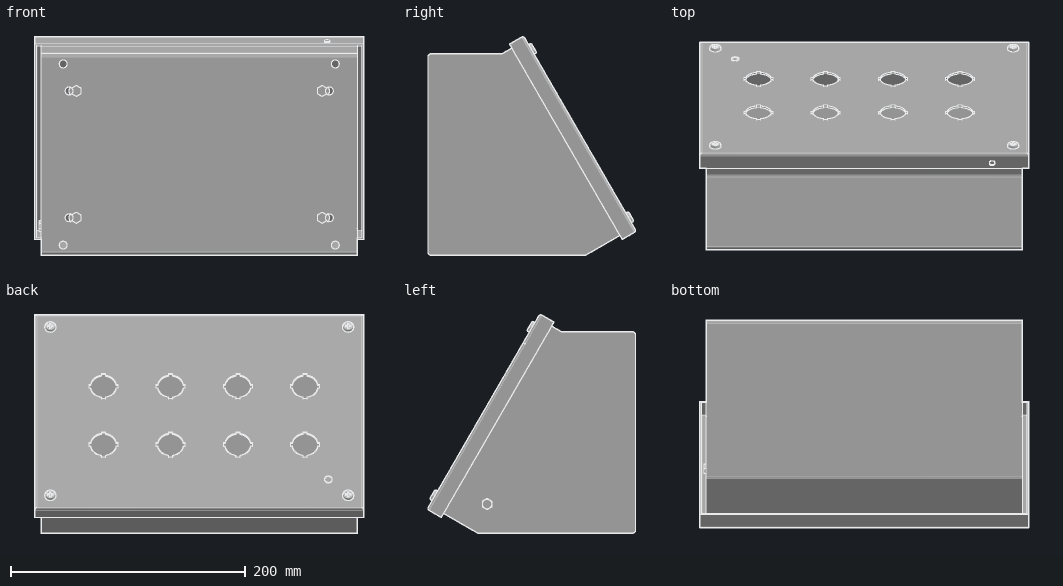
import cadquery as cq
import math

housing_width = 269.8
housing_height = 172.0
floor_depth = 134.5
roof_depth = 63.2
wall = 1.7
bend_radius = 2.8
roof_bend_radius = 3.7

slope = 60.0
lid_width = 281.0
lid_length = 192.5
lid_depth = 14.0
lid_wall = 1.7
lid_bend_radius = 2.0
lid_distance = 164.5

button_diameter = 22.0
button_pitch = 57.3
button_columns = 4
button_rows = 2
button_centre_x = -4.2
button_centre_y = 3.7
notch_width = 3.5
notch_reach = 12.5

dimple_diameter = 6.5
dimple_depth = 0.8
dimple_x = -110.1
dimple_y = 66.5
rim_hole_diameter = 4.8
rim_hole_x = 109.0
rim_hole_depth = 9.0

screw_x = 127.0
screw_y = 83.0
screw_head_diameter = 9.5
screw_head_height = 2.5
screw_head_round = 1.5
screw_shank_diameter = 4.8
recess_length = 4.5
recess_width = 1.5
recess_depth = 1.5

corner_hole_diameter = 6.7
corner_hole_x = 116.0
corner_hole_edge = 8.7
mount_hole_diameter = 6.7
mount_hole_x = 111.0

seat_x = 104.8
seat_low_z = 32.0
seat_high_z = 140.2
hexagon_flats = 8.1
seat_depth = 0.3
pad_diameter = 12.5
pad_thickness = 1.5

bolt_y = 126.7
bolt_z = 25.0
bolt_head_height = 2.0
bolt_shank_diameter = 4.8

slope_cos = math.cos(math.radians(slope))
slope_sin = math.sin(math.radians(slope))
hexagon_corners = hexagon_flats / math.cos(math.pi / 6)


def along_slope(y, z):
    """Distance of a side-on point up the slope, measured from the origin."""
    return z * slope_sin - y * slope_cos


def side_point(up_slope, out):
    """Y and Z of a point given up the slope and out along the lid's facing direction."""
    return (out * slope_sin - up_slope * slope_cos, out * slope_cos + up_slope * slope_sin)


floor_lip = along_slope(floor_depth, 0)
roof_lip = along_slope(roof_depth, housing_height)
lid_centre = side_point((floor_lip + roof_lip) / 2, lid_distance)

lid_plane = cq.Plane(
    origin=(0, *lid_centre), xDir=(1, 0, 0), normal=(0, slope_sin, slope_cos)
)


def prism(points, width):
    """A side-on outline of Y and Z points, extruded evenly about X = 0."""
    return cq.Workplane("YZ").polyline(points).close().extrude(width / 2, both=True)


def bend(body, y, z, radius):
    """Round the long edge that runs through the given Y and Z."""
    reach = 0.03
    edge = cq.selectors.BoxSelector(
        (-housing_width, y - reach, z - reach), (housing_width, y + reach, z + reach)
    )
    return body.edges("|X").edges(edge).fillet(radius)


def make_shell():
    front = lid_distance - lid_wall
    outline = [
        (0, 0),
        (floor_depth, 0),
        side_point(floor_lip, front),
        side_point(roof_lip, front),
        (roof_depth, housing_height),
        (0, housing_height),
    ]
    block = prism(outline, housing_width)
    block = bend(block, 0, 0, bend_radius)
    block = bend(block, 0, housing_height, bend_radius)
    block = bend(block, floor_depth, 0, bend_radius)
    block = bend(block, roof_depth, housing_height, roof_bend_radius)
    sloping_front = cq.selectors.DirectionMinMaxSelector(cq.Vector(0, slope_sin, slope_cos))
    return block.faces(sloping_front).shell(-wall)


def back_plane(y):
    """A drawing plane square to Y, facing inwards, with local X along Z and local Y along X."""
    return cq.Workplane(cq.Plane(origin=(0, y, 0), xDir=(0, 0, 1), normal=(0, 1, 0)))


def back_points(x, low_z, high_z):
    """Four places on the back, as local points of back_plane."""
    return [(z, side * x) for side in (-1, 1) for z in (low_z, high_z)]


def make_housing():
    corner_points = back_points(
        corner_hole_x, corner_hole_edge, housing_height - corner_hole_edge
    )
    mount_points = back_points(mount_hole_x, seat_low_z, seat_high_z)
    seat_points = back_points(seat_x, seat_low_z, seat_high_z)

    corner_holes = back_plane(0).pushPoints(corner_points).circle(corner_hole_diameter / 2)
    mount_holes = back_plane(0).pushPoints(mount_points).circle(mount_hole_diameter / 2)
    seats = back_plane(0).pushPoints(seat_points).polygon(6, hexagon_corners)
    pads = back_plane(wall).pushPoints(seat_points).circle(pad_diameter / 2)
    bolt_hole = bolt_workplane().circle(bolt_shank_diameter / 2).extrude(-wall)

    body = make_shell().cut(corner_holes.extrude(wall)).cut(mount_holes.extrude(wall))
    body = body.union(pads.extrude(pad_thickness))
    return body.cut(seats.extrude(seat_depth)).cut(bolt_hole)


def bolt_workplane():
    """Outside of the -X wall, facing -X, at the centre of the bolt; local X points up."""
    return cq.Workplane(
        cq.Plane(origin=(-housing_width / 2, bolt_y, bolt_z), xDir=(0, 0, 1), normal=(-1, 0, 0))
    )


def make_side_bolt():
    head = bolt_workplane().polygon(6, hexagon_corners).extrude(bolt_head_height)
    crown = (
        bolt_workplane()
        .circle(hexagon_corners / 2)
        .extrude(bolt_head_height)
        .faces("<X")
        .chamfer((hexagon_corners - hexagon_flats) / 2)
    )
    shank = bolt_workplane().circle(bolt_shank_diameter / 2).extrude(-wall)
    return head.intersect(crown).union(shank)


def button_points():
    first_x = button_centre_x - (button_columns - 1) / 2 * button_pitch
    first_y = button_centre_y - (button_rows - 1) / 2 * button_pitch
    return [
        (first_x + column * button_pitch, first_y + row * button_pitch)
        for column in range(button_columns)
        for row in range(button_rows)
    ]


def screw_points():
    return [(i * screw_x, j * screw_y) for i in (-1, 1) for j in (-1, 1)]


def make_tray():
    return (
        cq.Workplane("XY")
        .box(lid_width, lid_length, lid_depth, centered=(True, True, False))
        .translate((0, 0, -lid_depth))
        .edges(">Z")
        .fillet(lid_bend_radius)
        .faces("<Z")
        .shell(-lid_wall)
    )


def on_face(points):
    """Places on the lid face, before the lid is moved onto the slope."""
    return cq.Workplane("XY").pushPoints(points)


def make_lid():
    """The lid with its face on local Z = 0, moved onto the sloping front."""
    holes = on_face(button_points()).circle(button_diameter / 2)
    notches_across = on_face(button_points()).rect(2 * notch_reach, notch_width)
    notches_along = on_face(button_points()).rect(notch_width, 2 * notch_reach)
    screw_holes = on_face(screw_points()).circle(screw_shank_diameter / 2)
    dimple = on_face([(dimple_x, dimple_y)]).circle(dimple_diameter / 2)
    rim_hole = (
        cq.Workplane("XZ", origin=(rim_hole_x, 0, -rim_hole_depth))
        .circle(rim_hole_diameter / 2)
        .extrude(lid_length)
    )
    lid = (
        make_tray()
        .cut(holes.extrude(-lid_wall))
        .cut(notches_across.extrude(-lid_wall))
        .cut(notches_along.extrude(-lid_wall))
        .cut(screw_holes.extrude(-lid_wall))
        .cut(dimple.extrude(-dimple_depth))
        .cut(rim_hole)
    )
    return lid.val().moved(cq.Location(lid_plane))


def make_screw(x, y):
    """A round-headed screw with a cross recess, its shank ending flush inside the lid."""
    head = (
        cq.Workplane("XY")
        .circle(screw_head_diameter / 2)
        .extrude(screw_head_height)
        .faces(">Z")
        .edges()
        .fillet(screw_head_round)
    )
    shank = cq.Workplane("XY").circle(screw_shank_diameter / 2).extrude(-lid_wall)
    head_top = cq.Plane((0, 0, screw_head_height))
    slot = cq.Workplane(head_top).rect(recess_length, recess_width).extrude(-recess_depth)
    cross_slot = cq.Workplane(head_top).rect(recess_width, recess_length).extrude(-recess_depth)
    screw = head.union(shank).cut(slot).cut(cross_slot)
    return screw.val().moved(cq.Location((x, y, 0))).moved(cq.Location(lid_plane))


housing = make_housing()
side_bolt = make_side_bolt()
lid = make_lid()
screws = [make_screw(x, y) for x, y in screw_points()]

result = cq.Compound.makeCompound([housing.val(), lid, side_bolt.val(), *screws])